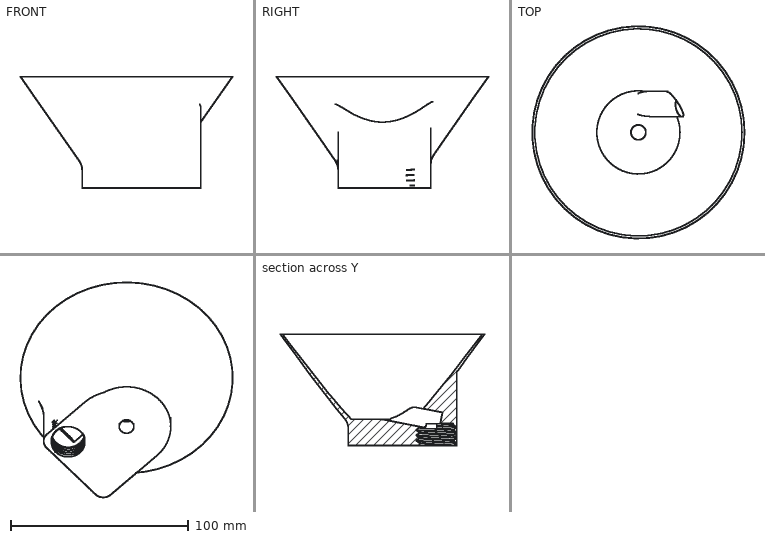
import cadquery as cq
import math

RIM_RADIUS = 60.0
TOTAL_HEIGHT = 63.0
WALL = 1.5
BASE_RADIUS = 25.0
CONE_START = 13.0
FLOOR_HEIGHT = 15.0
DRAIN_DIAMETER = 8.3

BLOCK_END_X = 42.0
BLOCK_SIDE_Y = 27.35
BLOCK_CORNER = 6.0
SHOULDER_RADIUS = 25.0
SHOULDER_ANGLE = 102.0
CONE_BLEND = 10.0
BLOCK_BURIED_HEIGHT = 60.0

BORE_X = 30.5
BORE_Y = 15.7
BORE_RADIUS = 19.0 / 2
THREAD_RADIUS = 22.34 / 2
THREAD_PITCH = 3.0
THREAD_CREST = 0.5
THREAD_ROOT = 0.3
THREAD_OVERLAP = 0.2
BORE_HEIGHT = 12.5

CHANNEL_START_X = -0.5
CHANNEL_Y = 16.1
CHANNEL_WIDTH = 14.4
CHANNEL_HEIGHT = 10.2
CHANNEL_LENGTH = 33.0
CHANNEL_ROUND = 1.8
CHANNEL_SLOPE = 11.0

SELECT_MARGIN = 1.0


def outlet_outline():
    """Base circle running into a block, with an arched shoulder on the +Y side."""
    shoulder_start_x = BASE_RADIUS * math.cos(math.radians(SHOULDER_ANGLE))
    shoulder_start_y = BASE_RADIUS * math.sin(math.radians(SHOULDER_ANGLE))
    shoulder_center_y = BLOCK_SIDE_Y - SHOULDER_RADIUS
    shoulder_end_x = shoulder_start_x + math.sqrt(
        SHOULDER_RADIUS**2 - (shoulder_start_y - shoulder_center_y) ** 2
    )
    return (
        cq.Workplane("XY")
        .moveTo(0, -BASE_RADIUS)
        .lineTo(BLOCK_END_X, -BASE_RADIUS)
        .lineTo(BLOCK_END_X, BLOCK_SIDE_Y)
        .lineTo(shoulder_end_x, BLOCK_SIDE_Y)
        .radiusArc((shoulder_start_x, shoulder_start_y), -SHOULDER_RADIUS)
        .threePointArc((-BASE_RADIUS, 0), (0, -BASE_RADIUS))
        .close()
    )


def outer_body():
    """Block and cone blended along the block's long sides, then rounded at the end corners."""
    block = outlet_outline().extrude(BLOCK_BURIED_HEIGHT)
    cone = cq.Workplane("XY").add(
        cq.Solid.makeCone(BASE_RADIUS, RIM_RADIUS, TOTAL_HEIGHT - CONE_START, cq.Vector(0, 0, CONE_START))
    )
    body = block.union(cone)
    near_joint = cq.selectors.BoxSelector(
        (-RIM_RADIUS, -RIM_RADIUS, CONE_START - SELECT_MARGIN),
        (RIM_RADIUS, RIM_RADIUS, TOTAL_HEIGHT - SELECT_MARGIN),
        boundingbox=True,
    )
    on_end_face = cq.selectors.BoxSelector(
        (BLOCK_END_X - SELECT_MARGIN, -RIM_RADIUS, -SELECT_MARGIN),
        (BLOCK_END_X + SELECT_MARGIN, RIM_RADIUS, TOTAL_HEIGHT),
        boundingbox=True,
    )
    body = body.edges(near_joint - on_end_face).fillet(CONE_BLEND)
    body = body.edges(on_end_face).edges("|Z").fillet(BLOCK_CORNER)
    return cq.Workplane("XY").add(body.val().fix())


def funnel_cavity():
    """Conical hollow above the flat funnel floor."""
    return cq.Workplane("XY").add(
        cq.Solid.makeCone(
            BASE_RADIUS - WALL, RIM_RADIUS - WALL, TOTAL_HEIGHT - FLOOR_HEIGHT, cq.Vector(0, 0, FLOOR_HEIGHT)
        )
    )


def drain_hole():
    """Round hole through the center of the floor."""
    return cq.Workplane("XY").circle(DRAIN_DIAMETER / 2).extrude(TOTAL_HEIGHT)


def outlet_bore():
    """Vertical bore, open at the bottom of the block."""
    return cq.Workplane("XY").center(BORE_X, BORE_Y).circle(BORE_RADIUS).extrude(BORE_HEIGHT)


def thread_groove():
    """Helical groove with sloped flanks, narrowing from the bore wall to the thread radius."""
    flank_slope = (THREAD_PITCH - THREAD_CREST - THREAD_ROOT) / 2 / (THREAD_RADIUS - BORE_RADIUS)
    half_root = THREAD_ROOT / 2
    inner_radius = BORE_RADIUS - THREAD_OVERLAP
    half_mouth = half_root + flank_slope * (THREAD_RADIUS - inner_radius)
    helix = cq.Wire.makeHelix(THREAD_PITCH, BORE_HEIGHT - 2 * half_mouth, BORE_RADIUS)
    profile = (
        cq.Workplane("XZ")
        .moveTo(inner_radius, -half_mouth)
        .lineTo(THREAD_RADIUS, -half_root)
        .lineTo(THREAD_RADIUS, half_root)
        .lineTo(inner_radius, half_mouth)
        .close()
    )
    groove = profile.sweep(cq.Workplane("XY").add(helix), isFrenet=True)
    return groove.translate((BORE_X, BORE_Y, half_mouth))


def channel():
    """Round-edged passage that starts at floor level and falls toward the bore."""
    return (
        cq.Workplane("YZ")
        .center(CHANNEL_Y, CHANNEL_HEIGHT / 2)
        .rect(CHANNEL_WIDTH, CHANNEL_HEIGHT)
        .extrude(CHANNEL_LENGTH)
        .edges("|X")
        .fillet(CHANNEL_ROUND)
        .rotate((0, 0, 0), (0, 1, 0), CHANNEL_SLOPE)
        .translate((CHANNEL_START_X, 0, FLOOR_HEIGHT))
    )


result = (
    outer_body()
    .cut(funnel_cavity())
    .cut(drain_hole())
    .cut(outlet_bore().union(thread_groove()))
    .cut(channel())
)